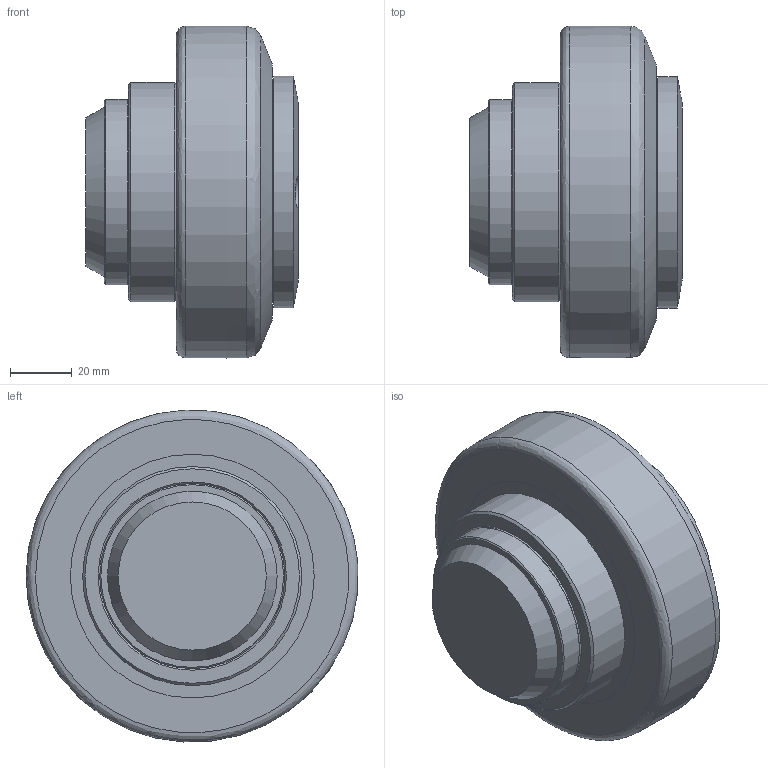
import cadquery as cq
import math

LENGTH = 68.95
NOSE_END = 6.1
JOURNAL_END = 13.9
ROLLER_START = 29.4
ROLLER_END = 60.4
CAP_START = 60.9
CAP_RIM_END = 67.3

NOSE_TIP_DIAMETER = 48.0
NOSE_BASE_DIAMETER = 55.0
JOURNAL_DIAMETER = 60.0
JOURNAL_CHAMFER = 0.4

COLLAR_DIAMETER = 71.0
COLLAR_CHAMFER = 0.75
COLLAR_BEVEL_DIAMETER = 61.0

ROLLER_DIAMETER = 107.7
CROWN_RADIUS = 500.0
ROLLER_FRONT_FILLET = 3.0
ROLLER_BACK_FILLET = 5.0
ROLLER_BACK_FACE_DIAMETER = 83.0
ROLLER_TAPER_LENGTH = 4.9
NECK_DIAMETER = 71.6
SEAL_DIAMETER = 79.0
SEAL_RECESS = 0.1

CAP_DIAMETER = 75.0
CAP_FACE_DIAMETER = 57.0

CAP_HOLE_DIAMETER = 10.4
CAP_HOLE_OFFSET = 28.8
CAP_HOLE_DEPTH = 3.0


def disc(start, end, diameter):
    """Cylinder about the X axis between two stations."""
    return cq.Workplane("YZ", origin=(start, 0, 0)).circle(diameter / 2).extrude(end - start)


def cone(start, end, start_diameter, end_diameter):
    """Truncated cone about the X axis between two stations."""
    profile = [(start, 0), (start, start_diameter / 2), (end, end_diameter / 2), (end, 0)]
    return cq.Workplane("XY").polyline(profile).close().revolve(360, (0, 0, 0), (1, 0, 0))


def make_journal():
    nose = cone(0, NOSE_END, NOSE_TIP_DIAMETER, NOSE_BASE_DIAMETER)
    body = disc(NOSE_END, JOURNAL_END, JOURNAL_DIAMETER).edges().chamfer(JOURNAL_CHAMFER)
    return nose.union(body)


def make_collar():
    """Collar whose front face has a 45-degree bevelled groove around the journal root."""
    collar = disc(JOURNAL_END, ROLLER_START + SEAL_RECESS, COLLAR_DIAMETER).edges().chamfer(COLLAR_CHAMFER)
    root_diameter = JOURNAL_DIAMETER - 2 * JOURNAL_CHAMFER
    bevel_end = JOURNAL_END + (COLLAR_BEVEL_DIAMETER - root_diameter) / 2
    bevel = cone(JOURNAL_END, bevel_end, COLLAR_BEVEL_DIAMETER, root_diameter)
    return collar.cut(bevel.cut(disc(JOURNAL_END, bevel_end, root_diameter)))


def make_roller():
    """Slightly crowned wheel with a tapered back and rounded rim corners."""
    rim_end = ROLLER_END - ROLLER_TAPER_LENGTH
    rim_half_width = (rim_end - ROLLER_START) / 2
    crown_drop = CROWN_RADIUS - math.sqrt(CROWN_RADIUS**2 - rim_half_width**2)
    peak_radius = ROLLER_DIAMETER / 2
    corner_radius = peak_radius - crown_drop
    roller = (
        cq.Workplane("XY")
        .moveTo(ROLLER_START, 0)
        .lineTo(ROLLER_START, corner_radius)
        .threePointArc((ROLLER_START + rim_half_width, peak_radius), (rim_end, corner_radius))
        .lineTo(ROLLER_END, ROLLER_BACK_FACE_DIAMETER / 2)
        .lineTo(ROLLER_END, 0)
        .close()
        .revolve(360, (0, 0, 0), (1, 0, 0))
    )
    rim_back_edge = cq.selectors.NearestToPointSelector((rim_end, 0, 0))
    roller = roller.edges(rim_back_edge).fillet(ROLLER_BACK_FILLET)
    roller = roller.faces("<X").edges().fillet(ROLLER_FRONT_FILLET)
    return roller.cut(disc(ROLLER_START, ROLLER_START + SEAL_RECESS, SEAL_DIAMETER))


def make_cap():
    rim = disc(CAP_START, CAP_RIM_END, CAP_DIAMETER)
    return rim.union(cone(CAP_RIM_END, LENGTH, CAP_DIAMETER, CAP_FACE_DIAMETER))


def make_cap_hole():
    hole = disc(LENGTH - CAP_HOLE_DEPTH, LENGTH, CAP_HOLE_DIAMETER)
    return hole.translate((0, -CAP_HOLE_OFFSET, 0))


result = make_journal().union(make_collar()).union(make_roller())
result = result.union(disc(ROLLER_END, CAP_START, NECK_DIAMETER)).union(make_cap())
result = result.cut(make_cap_hole())